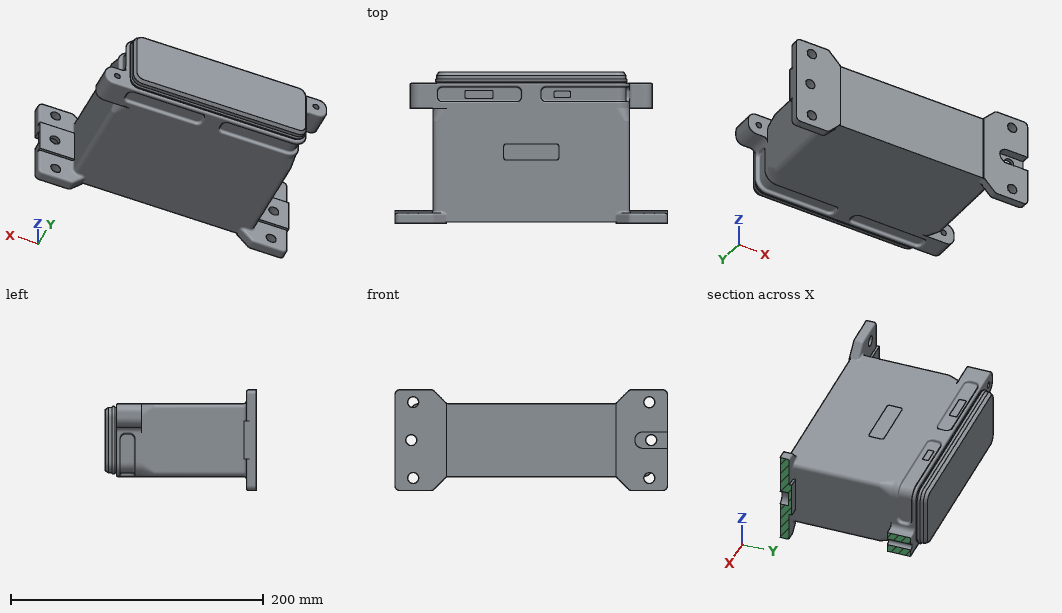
import cadquery as cq
body_width = 156.0
body_height = 58.0
body_back = 1.0
body_corner = 4.0
taper_start = 81.0
flange_back = 91.0
flange_front = 111.0
flange_corner = 11.0
flange_front_round = 1.5

ear_reach = 96.0
ear_height = 19.0
ear_round = 7.5
ear_root_round = 4.0
ear_hole_diameter = 5.0
ear_hole_x = 86.2
ear_hole_z = 19.4

overall_depth = 119.9
lid_inset = 3.0
lid_slope_length = 2.7
lid_slope_inset = 1.9
bead_diameter = 2.5
bead_gap = 0.95
bead_embedding = 0.3

recess_depth = 3.0
recess_height = 11.6
recess_corner = 4.2
recess_rim_round = 1.4
recess_floor_round = 1.3
recess_centre_y = 102.1
recess_inner_end = 7.6
recess_outer_end = 74.4
recess_side_end = 5.0

label_depth = 0.2
label_corner = 1.0
body_label = (0.0, 56.5, 43.6, 12.8)
left_label = (-41.3, 102.1, 22.4, 6.2)
right_label = (24.6, 102.1, 13.2, 5.0)
body_label_corner = 2.0

foot_outer = 108.0
foot_inner = 67.0
foot_half_height = 40.0
foot_thickness = 8.0
foot_corner = 4.0
foot_edge_round = 2.0
foot_junction_round = 2.0
pad_thickness = 10.0
pad_half_height = 15.0
foot_hole_diameter = 8.5
corner_hole_x = 93.5
corner_hole_z = 30.0
middle_hole_x = 95.0
slot_width = 13.0
slot_end = 82.0
slot_depth = 7.0

tolerance = 0.001
half_width = body_width / 2
half_height = body_height / 2


def plane_at(y):
    """Workplane across the part at depth y, with local axes X and Z."""
    return cq.Workplane("XZ", origin=(0, y, 0))


def rounded_block(inset, corner, y_start, y_end):
    """Block with the body outline, moved inwards by inset, and round corners along Y."""
    outline = plane_at(y_start).rect(body_width - 2 * inset, body_height - 2 * inset)
    return outline.extrude(y_start - y_end).edges("|Y").fillet(corner)


def half_turn(shape):
    """The same shape turned by half a turn about the Y axis."""
    return shape.rotate((0, 0, 0), (0, 1, 0), 180)


def make_body():
    """Box whose lengthwise corners widen just behind the flange."""
    body = rounded_block(0, body_corner, body_back, taper_start)
    narrow = cq.Sketch().rect(body_width, body_height).vertices().fillet(body_corner)
    wide = cq.Sketch().rect(body_width, body_height).vertices().fillet(flange_corner)
    length = flange_back - taper_start
    wide = wide.moved(cq.Location(cq.Vector(0, 0, -length)))
    taper = plane_at(taper_start).placeSketch(narrow, wide).loft(ruled=True)
    return body.union(taper)


def ear_outline():
    """Outline of the flange corner that carries the ear, with the ear and its root."""
    bottom = half_height - ear_height
    root_end = bottom - ear_root_round
    root_x = half_width + ear_root_round
    corner_x = ear_reach - ear_round
    inside_x = half_width - flange_corner
    return (
        plane_at(flange_back)
        .moveTo(inside_x, half_height)
        .lineTo(corner_x, half_height)
        .radiusArc((ear_reach, half_height - ear_round), ear_round)
        .lineTo(ear_reach, bottom + ear_round)
        .radiusArc((corner_x, bottom), ear_round)
        .lineTo(root_x, bottom)
        .radiusArc((half_width, root_end), -ear_root_round)
        .lineTo(inside_x, root_end)
        .close()
    )


def make_flange():
    """Flange with its two drilled screw ears and a rounded front edge."""
    flange = rounded_block(0, flange_corner, flange_back, flange_front)
    ear = ear_outline().extrude(flange_back - flange_front).mirror("YZ")
    flange = flange.union(ear).union(half_turn(ear))
    flange = flange.faces(">Y").edges().fillet(flange_front_round)
    holes = plane_at(flange_back).pushPoints([(-ear_hole_x, ear_hole_z), (ear_hole_x, -ear_hole_z)])
    return flange.cut(holes.circle(ear_hole_diameter / 2).extrude(flange_back - flange_front))


def box_between(x_range, y_range, z_range):
    """Axis-aligned box between two limits on each axis."""
    sizes = [end - start for start, end in (x_range, y_range, z_range)]
    corner = (x_range[0], y_range[0], z_range[0])
    return cq.Workplane("XY").box(*sizes, centered=False).translate(corner)


def cut_recess(flange, footprint, core):
    """Cut the footprint down to the core, then round the floor and the rim of the recess."""
    flange = flange.cut(footprint.cut(core))
    floor_edges = []
    rim_edges = []
    for edge in flange.edges().vals():
        middle = cq.Vertex.makeVertex(*edge.positionAt(0.5).toTuple())
        if footprint.val().distance(middle) > tolerance:
            continue
        height = core.val().distance(middle)
        if height < tolerance:
            floor_edges.append(edge)
        elif height > recess_depth - tolerance:
            rim_edges.append(edge)
    flange = flange.newObject(floor_edges).fillet(recess_floor_round)
    return flange.newObject(rim_edges).fillet(recess_rim_round)


def cut_recesses(flange):
    """One straight and one wrapping recess, and both again after half a turn."""
    recess_y = (recess_centre_y - recess_height / 2, recess_centre_y + recess_height / 2)
    flange_y = (flange_back, flange_front)
    floor_z = half_height - recess_depth

    straight = box_between((-recess_outer_end, -recess_inner_end), recess_y, (0, half_height))
    straight = straight.edges("|Z").fillet(recess_corner)
    straight_core = box_between((-ear_reach, ear_reach), flange_y, (-floor_z, floor_z))

    long_arm = box_between((recess_inner_end, half_width), recess_y, (0, half_height))
    long_arm = long_arm.edges("|Z and <X").fillet(recess_corner)
    short_x = (half_width - flange_corner, half_width)
    short_arm = box_between(short_x, recess_y, (-recess_side_end, half_height))
    short_arm = short_arm.edges("|X and <Z").fillet(recess_corner)
    wrapping = long_arm.union(short_arm)
    wrapping_core = rounded_block(recess_depth, flange_corner - recess_depth, *flange_y)

    for footprint, core in ((straight, straight_core), (wrapping, wrapping_core)):
        flange = cut_recess(flange, footprint, core)
        flange = cut_recess(flange, half_turn(footprint), half_turn(core))
    return flange


def make_lid():
    """Lid with a sloped front edge and a round seal bead along its foot."""
    lid = rounded_block(lid_inset, flange_corner - lid_inset, flange_front, overall_depth)
    lid = lid.faces(">Y").chamfer(lid_slope_length, lid_slope_inset)
    bead_y = flange_front + bead_gap + bead_diameter / 2
    path_inset = lid_inset + bead_embedding
    path_block = rounded_block(path_inset, flange_corner - path_inset, bead_y, overall_depth)
    bead_path = path_block.faces("<Y").wires()
    bead = cq.Workplane("YZ").center(bead_y, half_height - path_inset).circle(bead_diameter / 2)
    return lid.union(bead.sweep(bead_path))


def make_foot():
    """Right-hand foot, with the inner corners cut at 45 degrees down to the body."""
    slope = foot_half_height - half_height
    slope_end = foot_inner + slope
    outline = [
        (foot_inner, half_height),
        (slope_end, foot_half_height),
        (foot_outer, foot_half_height),
        (foot_outer, -foot_half_height),
        (slope_end, -foot_half_height),
        (foot_inner, -half_height),
    ]
    foot = plane_at(0).polyline(outline).close().extrude(-foot_thickness)
    foot = foot.edges("|Y and (not <X)").fillet(foot_corner)
    return foot.faces(">Y").edges("not <X").fillet(foot_edge_round)


def make_body_with_feet():
    """Body with both feet, a round where they meet, and the thicker middle pads."""
    body = make_body()
    right_foot = make_foot()
    feet = right_foot.add(right_foot.mirror("YZ")).combine()
    housing = body.union(feet)
    junction_edges = []
    for edge in housing.edges().vals():
        middle = edge.positionAt(0.5)
        point = cq.Vertex.makeVertex(*middle.toTuple())
        on_both = max(body.val().distance(point), feet.val().distance(point)) < tolerance
        if on_both and middle.y > foot_thickness - foot_edge_round:
            junction_edges.append(edge)
    housing = housing.newObject(junction_edges).fillet(foot_junction_round)
    pad = box_between((foot_inner, foot_outer), (0, pad_thickness), (-pad_half_height, pad_half_height))
    return housing.union(pad).union(pad.mirror("YZ"))


def foot_holes(side):
    """The three mounting holes of the foot on the given side, -1 for left and 1 for right."""
    points = [(side * middle_hole_x, 0)]
    points += [(side * corner_hole_x, z) for z in (-corner_hole_z, corner_hole_z)]
    return plane_at(0).pushPoints(points).circle(foot_hole_diameter / 2).extrude(-pad_thickness)


def make_slot():
    """Round-ended slot in the back of the right-hand foot, open at its outer end."""
    radius = slot_width / 2
    centre_x = slot_end + radius
    slot = box_between((centre_x, foot_outer), (0, slot_depth), (-radius, radius))
    return slot.union(plane_at(0).center(centre_x, 0).circle(radius).extrude(-slot_depth))


def label_field(label, surface_z, corner):
    """Shallow rounded rectangle to sink into an upward-facing surface."""
    x, y, width, height = label
    field = cq.Workplane("XY", origin=(x, y, surface_z)).rect(width, height).extrude(-label_depth)
    return field.edges("|Z").fillet(corner)


housing = make_body_with_feet()
housing = housing.union(cut_recesses(make_flange())).union(make_lid())
for side in (-1, 1):
    housing = housing.cut(foot_holes(side))
housing = housing.cut(make_slot())
housing = housing.cut(label_field(body_label, half_height, body_label_corner))
recess_floor_z = half_height - recess_depth
for label in (left_label, right_label):
    housing = housing.cut(label_field(label, recess_floor_z, label_corner))
result = housing